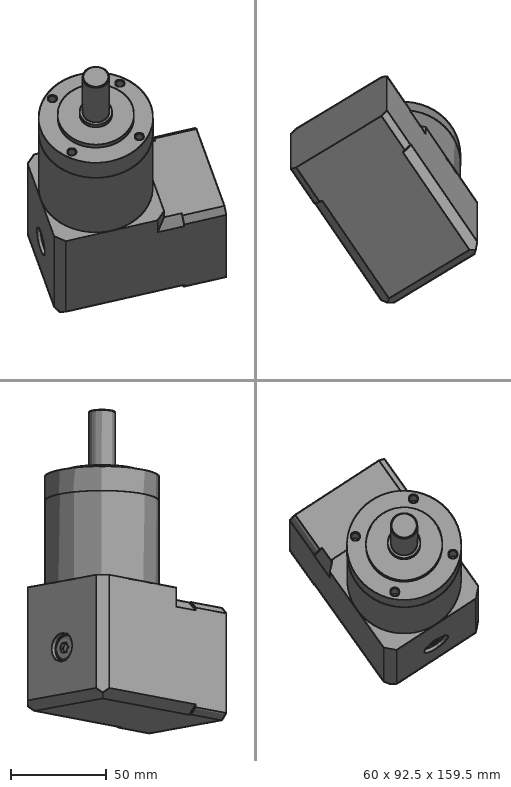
import cadquery as cq
import math


width = 60.0
half_width = width / 2
length = 92.5
housing_height = 65.2
rear_height = width
rear_y = length - half_width
edge_chamfer = 5.0

input_flange_length = 23.0
input_flange_diameter = 80.0
input_axis_z = width / 2
flange_start_y = rear_y - input_flange_length

gear_case = (59.8, 111.8)
output_flange = (width, 124.7)
pilot = (40.0, 127.5)
shaft_collar = (17.0, 129.7)
shaft = (14.0, 159.5)
shaft_end_chamfer = 0.5

bolt_circle_radius = 26.0
bolt_hole_diameter = 4.1
bolt_hole_mouth = 5.0
countersink_angle = 90
bolt_hole_depth = 10.0

access_bore_diameter = 15.0
access_bore_depth = 2.7
screw_diameter = 13.0
screw_edge_radius = 1.0
screw_height = 1.1
hex_across_flats = 5.1
hex_depth = 2.0
hex_sides = 6


def make_housing():
    """L-shaped block with chamfered outer edges, up to the input flange."""
    flat_half_width = half_width - edge_chamfer
    side_outline = [
        (-half_width, edge_chamfer),
        (-half_width + edge_chamfer, 0),
        (flange_start_y, 0),
        (flange_start_y, rear_height),
        (half_width, rear_height),
        (half_width, housing_height),
        (-half_width, housing_height),
    ]
    plan_outline = [
        (-half_width, flange_start_y),
        (-half_width, -flat_half_width),
        (-flat_half_width, -half_width),
        (flat_half_width, -half_width),
        (half_width, -flat_half_width),
        (half_width, flange_start_y),
    ]
    front_outline = [
        (-half_width, housing_height),
        (-half_width, edge_chamfer),
        (-flat_half_width, 0),
        (flat_half_width, 0),
        (half_width, edge_chamfer),
        (half_width, housing_height),
    ]
    block = cq.Workplane("YZ").polyline(side_outline).close().extrude(half_width, both=True)
    plan_prism = cq.Workplane("XY").polyline(plan_outline).close().extrude(housing_height)
    front_prism = cq.Workplane("XZ").polyline(front_outline).close().extrude(length, both=True)
    block = block.intersect(plan_prism).intersect(front_prism)

    step_edges = cq.selectors.BoxSelector(
        (-width, half_width - edge_chamfer, rear_height - edge_chamfer),
        (width, flange_start_y, housing_height),
    )
    step_side_edges = block.edges(step_edges).edges("|Y or |Z")
    return step_side_edges.chamfer(edge_chamfer)


def make_input_flange():
    """Square flange with its four corners rounded about the input axis."""
    plane = cq.Workplane("XZ", origin=(0, rear_y, input_axis_z))
    square = plane.rect(width, width).extrude(input_flange_length)
    disc = plane.circle(input_flange_diameter / 2).extrude(input_flange_length)
    return square.intersect(disc)


def make_output_stack():
    """Gear case, flange, pilot, collar and shaft, stacked along Z."""
    stack = cq.Workplane("XY")
    base = housing_height
    for diameter, top in (gear_case, output_flange, pilot, shaft_collar, shaft):
        step = cq.Workplane("XY", origin=(0, 0, base)).circle(diameter / 2).extrude(top - base)
        stack = stack.union(step)
        base = top
    return stack.faces(">Z").chamfer(shaft_end_chamfer)


def cut_bolt_holes(body):
    """Four countersunk blind holes on the diagonals of the output flange."""
    spacing = bolt_circle_radius * math.sqrt(2)
    return (
        cq.Workplane("XY").add(body)
        .copyWorkplane(cq.Workplane("XY", origin=(0, 0, output_flange[1])))
        .rect(spacing, spacing, forConstruction=True)
        .vertices()
        .cskHole(bolt_hole_diameter, bolt_hole_mouth, countersink_angle, bolt_hole_depth)
    )


def add_access_screw(body):
    """Recess in the front face holding a socket screw with a rounded head."""
    front = cq.Workplane("XZ", origin=(0, -half_width, input_axis_z))
    floor = front.workplane(offset=-access_bore_depth)
    bore = front.circle(access_bore_diameter / 2).extrude(-access_bore_depth)
    head = floor.circle(screw_diameter / 2).extrude(screw_height).faces("<Y").fillet(screw_edge_radius)
    hex_across_corners = hex_across_flats / math.cos(math.pi / hex_sides)
    socket = floor.workplane(offset=screw_height).polygon(hex_sides, hex_across_corners).extrude(-hex_depth)
    return body.cut(bore).union(head).cut(socket)


gearbox = make_housing().union(make_input_flange()).union(make_output_stack())
gearbox = cut_bolt_holes(gearbox)
result = add_access_screw(gearbox)